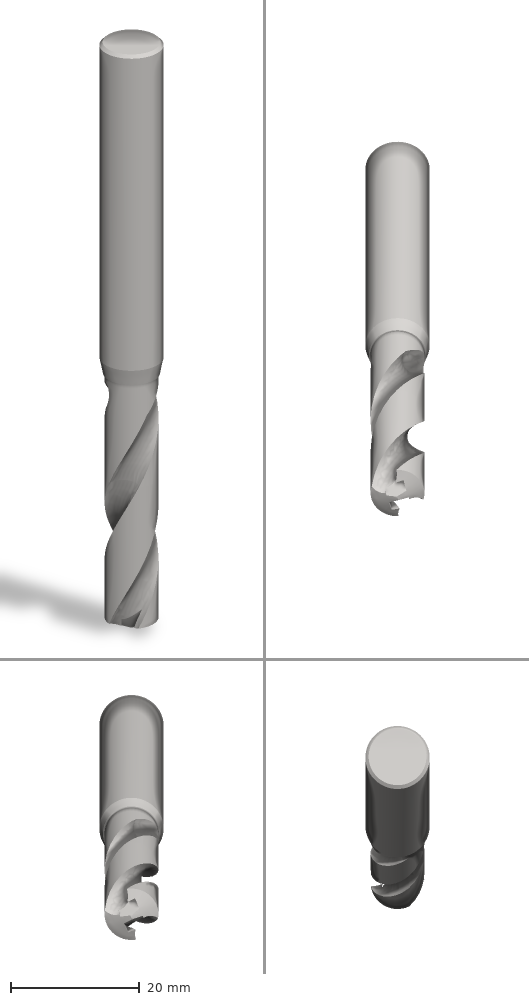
import cadquery as cq
import math

length = 101.0
shank_diameter = 10.0
shank_chamfer = 0.5
collar_top = 46.7
collar_bottom = 43.9
collar_end_radius = 4.4

drill_diameter = 8.4
point_angle = 135.0
joint_height = 26.1
flute_top = 38.3
flute_count = 2
helix_pitch = 48.5
flute_start_angle = 96.0
flute_radius = 2.5
web_diameter = 3.0

runout_side = 0.85
runout_lift = 0.3
runout_height = 12.1

gash_depth = 4.2
gash_width = 3.2
gash_offset = 0.3
gash_reach = 2.0
gash_turn = 35.0

shank_radius = shank_diameter / 2
drill_radius = drill_diameter / 2
flute_center = web_diameter / 2 + flute_radius
point_height = drill_radius / math.tan(math.radians(point_angle / 2))
flute_step = 360.0 / flute_count


def flute_angle(height, index):
    """Direction of a flute, in degrees, at the given height."""
    return flute_start_angle + index * flute_step + 360.0 * height / helix_pitch


def flute_cutter(bottom, top, index):
    """Round bar twisted along the helix between two heights."""
    height = top - bottom
    return (
        cq.Workplane("XY")
        .moveTo(flute_center, 0)
        .circle(flute_radius)
        .twistExtrude(height, 360.0 * height / helix_pitch)
        .rotate((0, 0, 0), (0, 0, 1), flute_angle(bottom, index))
        .translate((0, 0, bottom))
    )


def runout_cutter(index):
    """Straight bar that continues a flute and leaves the drill sideways."""
    end = (
        flute_center + runout_lift * runout_height,
        runout_side * runout_height,
        runout_height,
    )
    path = cq.Edge.makeLine(cq.Vector(flute_center, 0, 0), cq.Vector(*end))
    return (
        cq.Workplane("XY")
        .moveTo(flute_center, 0)
        .circle(flute_radius)
        .sweep(cq.Wire.assembleEdges([path]))
        .rotate((0, 0, 0), (0, 0, 1), flute_angle(flute_top, index))
        .translate((0, 0, flute_top))
    )


def gash_cutter(index):
    """Wedge that thins the web at the point."""
    return (
        cq.Workplane("XZ", origin=(0, gash_width / 2, 0))
        .moveTo(gash_offset, 0)
        .lineTo(gash_offset + gash_reach, gash_depth)
        .lineTo(gash_offset + gash_reach, 0)
        .close()
        .extrude(gash_width)
        .rotate((0, 0, 0), (0, 0, 1), flute_angle(0, index) + gash_turn)
    )


def make_shank():
    """Shank with its collar and the upper part of the flutes."""
    profile = (
        cq.Workplane("XZ")
        .moveTo(0, joint_height)
        .lineTo(drill_radius, joint_height)
        .lineTo(drill_radius, collar_bottom)
        .lineTo(collar_end_radius, collar_bottom)
        .lineTo(shank_radius, collar_top)
        .lineTo(shank_radius, length - shank_chamfer)
        .lineTo(shank_radius - shank_chamfer, length)
        .lineTo(0, length)
        .close()
    )
    body = profile.revolve(360, (0, 0, 0), (0, 1, 0))
    for index in range(flute_count):
        body = body.cut(flute_cutter(joint_height, flute_top, index))
        body = body.cut(runout_cutter(index))
    return body


def make_tip():
    """Cutting tip with conical point, flutes and web-thinning gashes."""
    profile = (
        cq.Workplane("XZ")
        .lineTo(drill_radius, point_height)
        .lineTo(drill_radius, joint_height)
        .lineTo(0, joint_height)
        .close()
    )
    body = profile.revolve(360, (0, 0, 0), (0, 1, 0))
    for index in range(flute_count):
        body = body.cut(flute_cutter(0, joint_height, index))
        body = body.cut(gash_cutter(index))
    return body


shank = make_shank()
tip = make_tip()
result = cq.Compound.makeCompound([shank.val(), tip.val()])